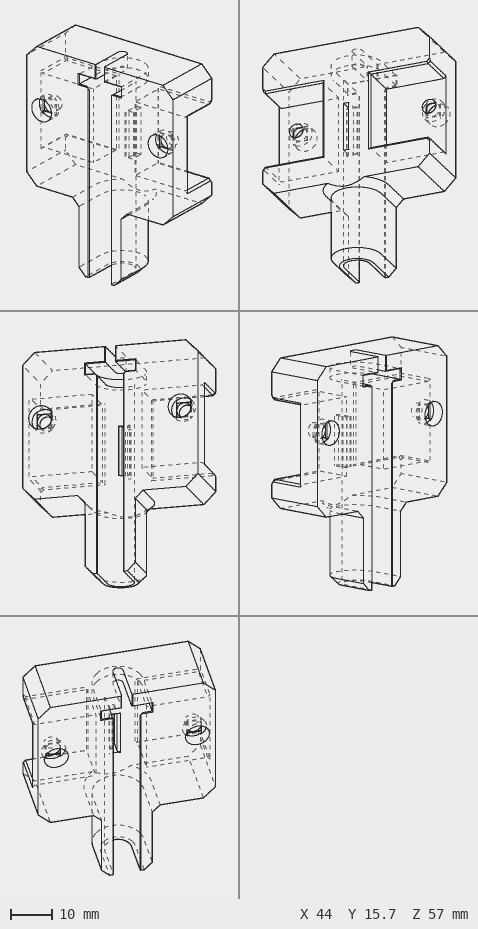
import cadquery as cq
width = 44.0
depth = 15.7
height = 57.0

body_height = 37.0
body_bottom = height - body_height
body_chamfer = 3.0
stem_width = 12.6
stem_radius = stem_width / 2
stem_flare = 1.95
stem_chamfer = 2.0
axis_y = 9.0

neck_width = 2.5
flange_width = 12.6
flange_top = height - 3.95
flange_bottom = height - 6.55
channel_width = 6.6
funnel_radius = 1.0
mouth_chamfer = 0.2

window_top = height - 16.55
window_height = 12.4
window_pocket_width = 2.75
window_slit_width = 1.3
window_floor_rise = 0.35

hole_spacing = 35.0
hole_z = window_top
hole_diameter = 3.6
counterbore_diameter = 5.9
counterbore_depth = 3.0
bridge_step = 0.3

recess_top = height - 9.9
recess_bottom = height - 29.4
recess_front = 5.8
recess_chamfer = 0.55
recess_back_chamfer = 0.45
core_half_width = stem_radius

overshoot = 2.85


def box(x_range, y_range, z_range):
    """Axis-aligned box between the given limits."""
    (x0, x1), (y0, y1), (z0, z1) = x_range, y_range, z_range
    return cq.Workplane("XY").box(x1 - x0, y1 - y0, z1 - z0, centered=False).translate((x0, y0, z0))


def u_prism(u_width, z0, z1):
    """Vertical prism with straight sides from the front and a round back about the stem axis."""
    radius = u_width / 2
    return (
        cq.Workplane("XY", origin=(0, 0, z0))
        .moveTo(-radius, -overshoot)
        .lineTo(-radius, axis_y)
        .threePointArc((0, axis_y + radius), (radius, axis_y))
        .lineTo(radius, -overshoot)
        .close()
        .extrude(z1 - z0)
    )


def make_body():
    return box((-width / 2, width / 2), (0, depth), (body_bottom, height)).edges("|Y").chamfer(body_chamfer)


def make_stem():
    """Round-backed stem, chamfered at the foot and flaring out where it meets the body."""
    half_profile = [
        (0, 0),
        (stem_radius - stem_chamfer, 0),
        (stem_radius, stem_chamfer),
        (stem_radius, body_bottom - stem_flare),
        (stem_radius + stem_flare, body_bottom),
        (0, body_bottom),
    ]
    axis_end = (0, 1)
    round_back = (
        cq.Workplane("XZ").polyline(half_profile).close().revolve(360, (0, 0), axis_end)
        .translate((0, axis_y, 0))
    )
    straight_front = cq.Workplane("XZ").polyline(half_profile).close().extrude(-axis_y)
    straight_front = straight_front.union(straight_front.mirror("YZ"))
    limits = box((-width / 2, width / 2), (0, depth), (0, body_bottom))
    return round_back.union(straight_front).intersect(limits)


def make_cavity():
    """Narrow neck, wide flange seat and long channel, with a rounded funnel into the channel."""
    flange = u_prism(flange_width, flange_bottom, flange_top)
    channel = u_prism(channel_width, -overshoot, flange_bottom)
    neck = u_prism(neck_width, flange_top, height + overshoot)
    reach = channel_width / 2 + 0.05
    funnel_edges = cq.selectors.BoxSelector(
        (-reach, -overshoot + 0.05, flange_bottom - 0.05),
        (reach, axis_y + reach, flange_bottom + 0.05),
    )
    seat = channel.union(flange).edges(funnel_edges).fillet(funnel_radius)
    return seat.union(neck)


def make_mouth():
    """Chamfer around the cavity outline on the front face."""
    neck = neck_width / 2 + mouth_chamfer
    flange = flange_width / 2 + mouth_chamfer
    channel = channel_width / 2 + mouth_chamfer
    seat_top = flange_top + mouth_chamfer
    seat_bottom = flange_bottom - mouth_chamfer
    right_side = [
        (neck, height + overshoot),
        (neck, seat_top),
        (flange, seat_top),
        (flange, seat_bottom),
        (channel, seat_bottom),
        (channel, -overshoot),
    ]
    left_side = [(-x, z) for x, z in reversed(right_side)]
    return cq.Workplane("XZ").polyline(right_side + left_side).close().extrude(-mouth_chamfer, taper=45)


def make_window():
    pocket = window_pocket_width / 2
    slit = window_slit_width / 2
    floor_y = axis_y + channel_width / 2
    right_side = [
        (pocket, axis_y),
        (pocket, floor_y),
        (slit, floor_y + window_floor_rise),
        (slit, depth),
    ]
    left_side = [(-x, y) for x, y in reversed(right_side)]
    return (
        cq.Workplane("XY", origin=(0, 0, window_top - window_height))
        .polyline(right_side + left_side).close().extrude(window_height)
    )


def make_screw_hole(x):
    """Counterbored through hole with a slot step and a square step at the counterbore floor."""
    slot_floor = counterbore_depth + bridge_step
    square_floor = slot_floor + bridge_step
    plane = cq.Workplane("XZ", origin=(x, 0, hole_z))
    counterbore = plane.circle(counterbore_diameter / 2).extrude(-counterbore_depth)
    slot = (
        plane.rect(hole_diameter, counterbore_diameter).extrude(-slot_floor)
        .intersect(plane.circle(counterbore_diameter / 2).extrude(-slot_floor))
    )
    square = plane.rect(hole_diameter, hole_diameter).extrude(-square_floor)
    through = plane.circle(hole_diameter / 2).extrude(-depth)
    return counterbore.union(slot).union(square).union(through)


def make_left_recess():
    """Pocket beside the core, bevelled at its side opening and around its back opening."""
    side = -width / 2
    outline = [
        (side, recess_bottom - recess_chamfer),
        (side, recess_top + recess_chamfer),
        (side + recess_chamfer, recess_top),
        (-core_half_width, recess_top),
        (-core_half_width, recess_bottom),
        (side + recess_chamfer, recess_bottom),
    ]
    back_plane = cq.Workplane("XZ", origin=(0, depth, 0))
    pocket = back_plane.polyline(outline).close().extrude(depth - recess_front)
    back_bevel = (
        back_plane.polyline(outline).close()
        .offset2D(recess_back_chamfer, "intersection")
        .extrude(recess_back_chamfer, taper=45)
    )
    return pocket.union(back_bevel)


left_recess = make_left_recess()

result = make_body().union(make_stem())
result = result.cut(left_recess).cut(left_recess.mirror("YZ"))
result = result.cut(make_cavity()).cut(make_mouth()).cut(make_window())
for hole_x in (-hole_spacing / 2, hole_spacing / 2):
    result = result.cut(make_screw_hole(hole_x))